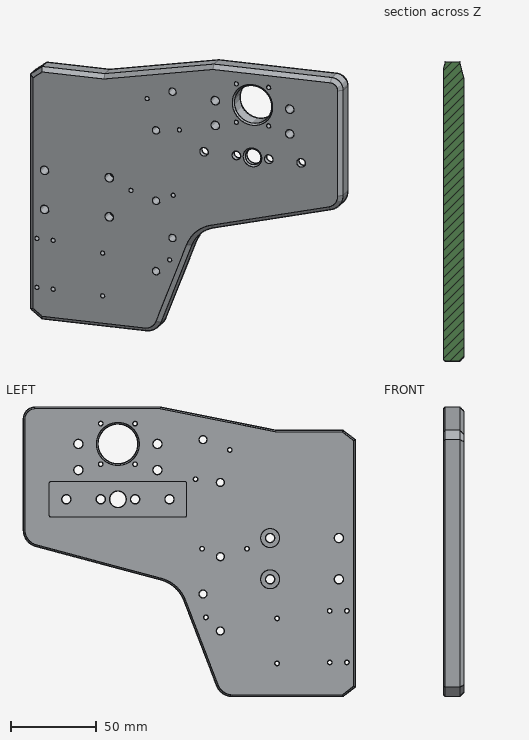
import cadquery as cq
import math


THICKNESS = 12.0
LENGTH = 193.2
HEIGHT = 168.5
NEAR_CHAMFER = 1.0
FAR_CHAMFER = 2.5

REAR_HEIGHT = 155.0
REAR_CUT_Y = 7.2
REAR_CUT_Z = 5.5
SLOPE_BOTTOM_Y = 46.0
SLOPE_TOP_Y = 113.4
FRONT_BOTTOM_Z = 89.3
UNDERSIDE_ANGLE = 15.0
LEG_FOOT_Y = 78.3
LEG_ANGLE = 21.0
TOP_CORNER_RADIUS = 7.0
LOWER_CORNER_RADIUS = 10.0
CROTCH_RADIUS = 20.0

HOLE_CHAMFER = 1.0
CHAMFER_ANGLE = 45.0
TAPPED_DIAMETER = 2.53
SMALL_CLEARANCE_DIAMETER = 4.5
CLEARANCE_DIAMETER = 5.2
COUNTERBORE_DIAMETER = 11.0
COUNTERBORE_DEPTH = 3.0

BORE_Y = 138.1
BORE_Z = 147.0
BORE_DIAMETER = 23.0
BORE_SCREW_SPACING_Y = 20.0
BORE_SCREW_SPACING_Z = 23.6
BRACKET_SPACING_Y = 46.0
BRACKET_ROW_SPACING = 15.2

POCKET_Z = 114.8
POCKET_LENGTH = 80.0
POCKET_HEIGHT = 20.6
POCKET_DEPTH = 8.0
POCKET_CORNER_RADIUS = 1.0
POCKET_HOLE_DIAMETER = 9.5
POCKET_INNER_SPACING = 20.0
POCKET_OUTER_SPACING = 60.0

MOUNT_ROWS_Z = (68.25, 92.25)
MOUNT_PLAIN_Y = 9.55
MOUNT_COUNTERBORED_Y = 49.55

MIDDLE_COLUMN_Y = 78.5
OUTER_COLUMN_Y = 88.6
SMALL_CLEARANCE_HOLES = [
    (MIDDLE_COLUMN_Y, 38.2),
    (MIDDLE_COLUMN_Y, 81.4),
    (MIDDLE_COLUMN_Y, 124.6),
    (OUTER_COLUMN_Y, 59.7),
    (OUTER_COLUMN_Y, 149.5),
]

REAR_PAIR_Y = 45.5
TAPPED_HOLES = [
    (73.0, 143.5),
    (92.9, 126.5),
    (63.0, 86.0),
    (89.1, 86.0),
    (86.9, 46.1),
    (REAR_PAIR_Y, 45.5),
    (REAR_PAIR_Y, 19.3),
]

REAR_GROUP_Y = (4.9, 14.9)
REAR_GROUP_Z = (19.9, 49.9)


def crotch_point():
    """Corner where the sloped underside meets the leaning edge of the leg."""
    underside_slope = math.tan(math.radians(UNDERSIDE_ANGLE))
    leg_slope = math.tan(math.radians(LEG_ANGLE))
    z_at_foot = FRONT_BOTTOM_Z - (LENGTH - LEG_FOOT_Y) * underside_slope
    z = z_at_foot / (1 - leg_slope * underside_slope)
    return LEG_FOOT_Y + z * leg_slope, z


def rectangle_corners(center_y, center_z, spacing_y, spacing_z):
    """Four corner positions of a rectangle about a center."""
    return [
        (center_y + side_y * spacing_y / 2, center_z + side_z * spacing_z / 2)
        for side_y in (-1, 1)
        for side_z in (-1, 1)
    ]


def cylinders(points, diameter, depth):
    """Cylinders that start on the near face and run toward +X."""
    return cq.Workplane("YZ").pushPoints(points).circle(diameter / 2).extrude(depth)


def face_chamfer(center, diameter, face_x, direction):
    """Cone that breaks the edge of a hole, tapering from a face into the plate."""
    return (
        cq.Workplane("YZ", origin=(face_x, *center))
        .circle(diameter / 2 + HOLE_CHAMFER)
        .extrude(direction * HOLE_CHAMFER, taper=CHAMFER_ANGLE)
    )


def round_corner(body, point, radius):
    """Round the plate corner that runs through the thickness at a (Y, Z) point."""
    middle = (THICKNESS / 2, *point)
    return body.edges(cq.selectors.NearestToPointSelector(middle)).fillet(radius)


def make_plate():
    """Plate outline with rounded corners and both faces chamfered all round."""
    front_top = (LENGTH, HEIGHT)
    front_bottom = (LENGTH, FRONT_BOTTOM_Z)
    crotch = crotch_point()
    leg_foot = (LEG_FOOT_Y, 0)
    outline = [
        (REAR_CUT_Y, 0),
        (0, REAR_CUT_Z),
        (0, REAR_HEIGHT - REAR_CUT_Z),
        (REAR_CUT_Y, REAR_HEIGHT),
        (SLOPE_BOTTOM_Y, REAR_HEIGHT),
        (SLOPE_TOP_Y, HEIGHT),
        front_top,
        front_bottom,
        crotch,
        leg_foot,
    ]
    body = cq.Workplane("YZ").polyline(outline).close().extrude(THICKNESS)
    body = round_corner(body, front_top, TOP_CORNER_RADIUS)
    body = round_corner(body, front_bottom, LOWER_CORNER_RADIUS)
    body = round_corner(body, leg_foot, LOWER_CORNER_RADIUS)
    body = round_corner(body, crotch, CROTCH_RADIUS)
    body = body.faces("<X").chamfer(NEAR_CHAMFER)
    return body.faces(">X").chamfer(FAR_CHAMFER)


def cut_bore(body):
    """Bearing bore, chamfered on both faces, with its four tapped holes and bracket holes."""
    center = (BORE_Y, BORE_Z)
    screws = rectangle_corners(BORE_Y, BORE_Z, BORE_SCREW_SPACING_Y, BORE_SCREW_SPACING_Z)
    brackets = rectangle_corners(
        BORE_Y, BORE_Z - BRACKET_ROW_SPACING / 2, BRACKET_SPACING_Y, BRACKET_ROW_SPACING
    )
    body = body.cut(cylinders([center], BORE_DIAMETER, THICKNESS))
    body = body.cut(face_chamfer(center, BORE_DIAMETER, 0, 1))
    body = body.cut(face_chamfer(center, BORE_DIAMETER, THICKNESS, -1))
    body = body.cut(cylinders(screws, TAPPED_DIAMETER, THICKNESS))
    return body.cut(cylinders(brackets, CLEARANCE_DIAMETER, THICKNESS))


def cut_pocket(body):
    """Rectangular pocket in the near face with a row of through holes in its floor.

    The large middle hole is chamfered on the far face.
    """
    center = (BORE_Y, POCKET_Z)
    pocket = (
        cq.Workplane("YZ")
        .center(*center)
        .rect(POCKET_LENGTH, POCKET_HEIGHT)
        .extrude(POCKET_DEPTH)
        .edges("|X")
        .fillet(POCKET_CORNER_RADIUS)
    )
    row = [
        (BORE_Y + side * spacing / 2, POCKET_Z)
        for spacing in (POCKET_INNER_SPACING, POCKET_OUTER_SPACING)
        for side in (-1, 1)
    ]
    body = body.cut(pocket)
    body = body.cut(cylinders([center], POCKET_HOLE_DIAMETER, THICKNESS))
    body = body.cut(face_chamfer(center, POCKET_HOLE_DIAMETER, THICKNESS, -1))
    return body.cut(cylinders(row, CLEARANCE_DIAMETER, THICKNESS))


def cut_mounting_holes(body):
    """Plain and counterbored clearance holes for the rear mounting."""
    plain = [(MOUNT_PLAIN_Y, z) for z in MOUNT_ROWS_Z]
    counterbored = [(MOUNT_COUNTERBORED_Y, z) for z in MOUNT_ROWS_Z]
    body = body.cut(cylinders(plain + counterbored, CLEARANCE_DIAMETER, THICKNESS))
    return body.cut(cylinders(counterbored, COUNTERBORE_DIAMETER, COUNTERBORE_DEPTH))


def cut_small_holes(body):
    """Remaining small clearance holes and tapped holes, all through the plate."""
    rear_group = [(y, z) for y in REAR_GROUP_Y for z in REAR_GROUP_Z]
    body = body.cut(cylinders(SMALL_CLEARANCE_HOLES, SMALL_CLEARANCE_DIAMETER, THICKNESS))
    return body.cut(cylinders(TAPPED_HOLES + rear_group, TAPPED_DIAMETER, THICKNESS))


plate = make_plate()
plate = cut_bore(plate)
plate = cut_pocket(plate)
plate = cut_mounting_holes(plate)
result = cut_small_holes(plate)